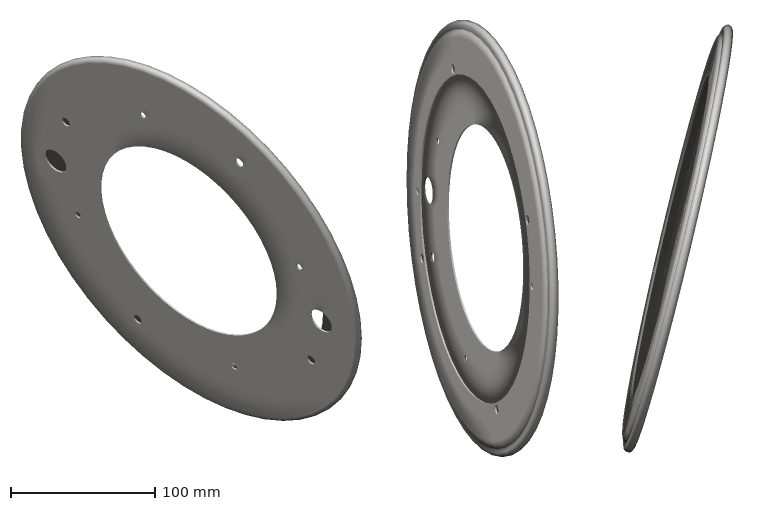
import cadquery as cq
import math


outer_radius = 304.8 / 2
total_depth = 8.89
sheet_thickness = 1.21

rim_thickness = 6.35
rim_round_radius = rim_thickness / 2
rim_flat_radius = outer_radius - rim_round_radius

shoulder_round_radius = 7.0
back_face_radius = 141.1
shoulder_center_y = total_depth - shoulder_round_radius

flange_inner_radius = 114.8
flange_front_y = total_depth - sheet_thickness
recess_floor_radius = 133.0
recess_wall_angle = 40.0

plate_radius = rim_flat_radius
bore_radius = 158.75 / 2

mount_circle_radius = 119.38
plate_mount_diameter = 7.24
ring_mount_diameter = 6.99
mount_first_angle = 67.5
small_circle_radius = 107.6
small_diameter = 5.08
small_first_angle = 22.5
quarter_turn_count = 4
access_diameter = 19.05
pilot_diameter = 5.08
access_first_angle = 0.0
access_count = 2


def circle_points(radius, first_angle, count):
    """Points spaced evenly on a circle, as (x, z) pairs."""
    points = []
    for index in range(count):
        angle = math.radians(first_angle + index * 360 / count)
        points.append((radius * math.cos(angle), radius * math.sin(angle)))
    return points


def drill(body, points, diameter):
    """Cut round holes along Y through the whole depth."""
    tools = cq.Workplane("XZ").pushPoints(points).circle(diameter / 2).extrude(-total_depth)
    return body.cut(tools)


mount_points = circle_points(mount_circle_radius, mount_first_angle, quarter_turn_count)
small_points = circle_points(small_circle_radius, small_first_angle, quarter_turn_count)
access_points = circle_points(mount_circle_radius, access_first_angle, access_count)


def make_front_plate():
    """Thin flat disc with the large bore, mounting holes, small holes and access holes."""
    plate = cq.Workplane("XZ").circle(plate_radius).circle(bore_radius).extrude(-sheet_thickness)
    plate = drill(plate, mount_points, plate_mount_diameter)
    plate = drill(plate, small_points, small_diameter)
    return drill(plate, access_points, access_diameter)


def shoulder_point(angle):
    """Point on the shoulder arc, with the angle measured from the outward radial direction."""
    return (
        back_face_radius + shoulder_round_radius * math.cos(angle),
        shoulder_center_y + shoulder_round_radius * math.sin(angle),
    )


def make_back_ring():
    """Revolved ring with a rounded rim, a domed back shoulder and a thin inner flange."""
    shoulder_start = math.asin((rim_thickness - shoulder_center_y) / shoulder_round_radius)
    shoulder_end = math.pi / 2
    shoulder_middle = (shoulder_start + shoulder_end) / 2
    recess_depth = flange_front_y - sheet_thickness
    recess_mouth_radius = recess_floor_radius + recess_depth / math.tan(math.radians(recess_wall_angle))
    ring = (
        cq.Workplane("XY")
        .moveTo(recess_mouth_radius, sheet_thickness)
        .lineTo(plate_radius, sheet_thickness)
        .lineTo(plate_radius, 0)
        .threePointArc((outer_radius, rim_round_radius), (rim_flat_radius, rim_thickness))
        .lineTo(*shoulder_point(shoulder_start))
        .threePointArc(shoulder_point(shoulder_middle), shoulder_point(shoulder_end))
        .lineTo(flange_inner_radius, total_depth)
        .lineTo(flange_inner_radius, flange_front_y)
        .lineTo(recess_floor_radius, flange_front_y)
        .close()
        .revolve(360, (0, 0, 0), (0, 1, 0))
    )
    ring = drill(ring, mount_points, ring_mount_diameter)
    return drill(ring, access_points, pilot_diameter)


front_plate = make_front_plate()
back_ring = make_back_ring()

result = cq.Compound.makeCompound([front_plate.val(), back_ring.val()])